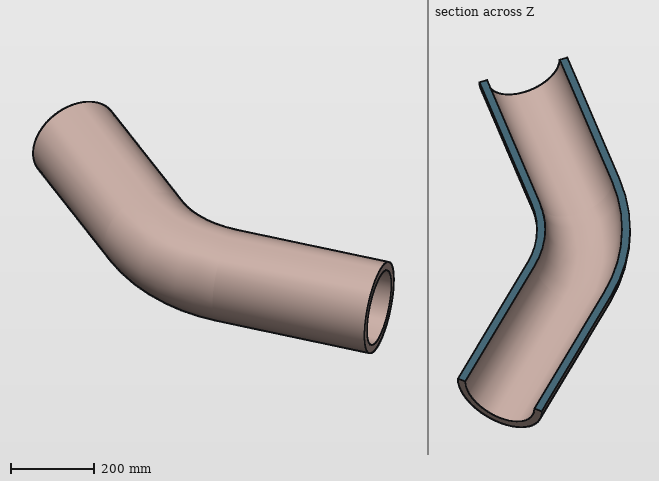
import cadquery as cq
import math

outer_diameter = 225.0
inner_diameter = 184.0
bend_angle = 45.0
bend_radius = 338.0
center_to_end = 525.0

half_angle = math.radians(bend_angle / 2)
tangent_length = bend_radius * math.tan(half_angle)
leg_length = center_to_end - tangent_length


def centerline():
    """Straight leg along +X, bend towards +Y, then a second straight leg."""
    turn = math.radians(bend_angle)
    bend_start = (leg_length, 0)
    bend_middle = (
        leg_length + bend_radius * math.sin(half_angle),
        bend_radius * (1 - math.cos(half_angle)),
    )
    bend_end = (
        leg_length + bend_radius * math.sin(turn),
        bend_radius * (1 - math.cos(turn)),
    )
    outlet_center = (
        bend_end[0] + leg_length * math.cos(turn),
        bend_end[1] + leg_length * math.sin(turn),
    )
    return (
        cq.Workplane("XY")
        .lineTo(*bend_start)
        .threePointArc(bend_middle, bend_end)
        .lineTo(*outlet_center)
    )


def pipe_elbow():
    """Ring section swept along the centerline, open at both ends."""
    ring = cq.Workplane("YZ").circle(outer_diameter / 2).circle(inner_diameter / 2)
    return ring.sweep(centerline())


result = pipe_elbow()